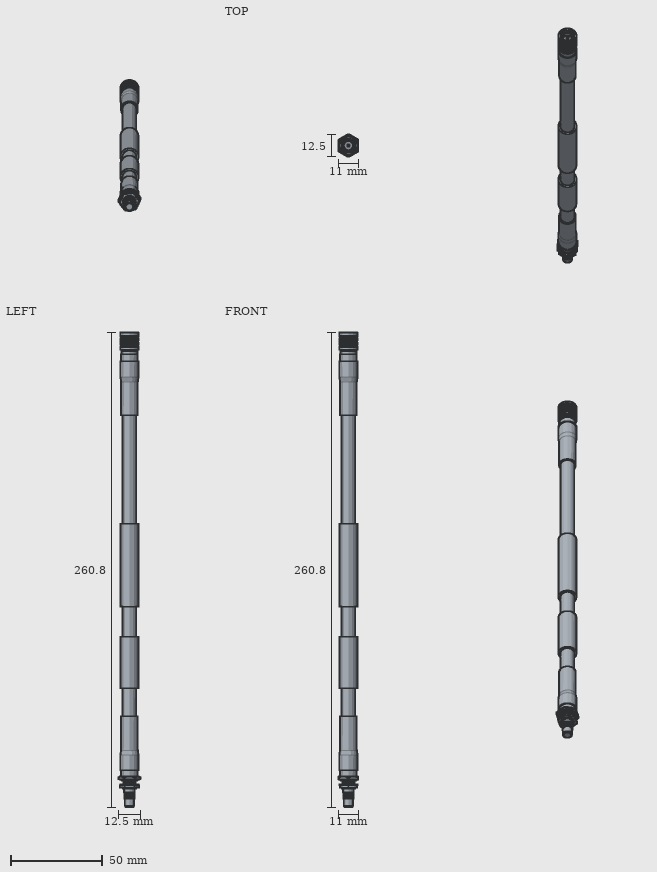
import cadquery as cq
import math

TOTAL_LENGTH = 260.79

CABLE_DIAMETER = 7.7
FERRULE_DIAMETER = 9.3
LOWER_BOOT_START = 20.2
UPPER_BOOT_START = 244.7
BOOT_LENGTH = 29.7
BOOT_WIDE_LENGTH = 8.5
BOOT_TAPER_LENGTH = 2.6
BOOT_WIDE_DIAMETER = 10.2
BOOT_NARROW_DIAMETER = 9.36
SLEEVE_DIAMETER = 10.0
LONG_SLEEVE_START = 110.0
LONG_SLEEVE_LENGTH = 45.6
SHORT_SLEEVE_START = 65.2
SHORT_SLEEVE_LENGTH = 28.4

NUT_START = 250.2
NUT_SHOULDER_LENGTH = 0.8
NUT_SHOULDER_DIAMETER = 9.2
NUT_DIAMETER = 10.2
NUT_CHAMFER = 0.3
NUT_RIM_LENGTH = 1.4
NUT_GROOVE_COUNT = 3
NUT_GROOVE_DEPTH = 0.25
NUT_BORE_DIAMETER = 6.4
NUT_BORE_DEPTH = 7.0
NUT_MOUTH_DIAMETER = 7.6
NUT_MOUTH_DEPTH = 1.0

PLUG_COLLAR_START = 248.6
PLUG_COLLAR_DIAMETER = 8.9
PLUG_STEM_DIAMETER = 5.6
PLUG_BORE_DIAMETER = 5.0
PLUG_BORE_DEPTH = 3.0
PLUG_RECESS = 1.0
PIN_DIAMETER = 1.3

FLANGE_FLATS = 11.0
FLANGE_CORNER_DIAMETER = 12.52
FLANGE_FACE_DIAMETER = 10.4
FLANGE_CHAMFER = 0.5
FLANGE_START = 15.0
FLANGE_TOP = 16.8
SEAT_LENGTH = 0.6
SEAT_TOP_DIAMETER = 9.6
SEAT_BOTTOM_DIAMETER = 8.4
LOCK_HEX_FLATS = 9.4
LOCK_HEX_START = 10.7
LOCK_HEX_TOP = 12.1
LOCK_WASHER_DIAMETER = 10.2
LOCK_WASHER_THICKNESS = 0.4
LOCK_COLLAR_DIAMETER = 7.2
LOCK_COLLAR_LENGTH = 0.7
NECK_DIAMETER = 6.9
LAND_START = 8.1
LAND_DIAMETER = 6.0
THREAD_DIAMETER = 5.6
THREAD_GROOVE_DEPTH = 0.3
THREAD_PITCH = 0.7
NOSE_LENGTH = 4.5
NOSE_DIAMETER = 5.2
NOSE_CHAMFER = 0.6


def rod(diameter, start, end):
    """Plain cylinder on the cable axis between two heights."""
    return cq.Workplane("XY").workplane(offset=start).circle(diameter / 2).extrude(end - start)


def turned(stations):
    """Solid of revolution about Z from (diameter, height) corners."""
    corners = [(diameter / 2, height) for diameter, height in stations]
    return cq.Workplane("XZ").polyline(corners).close().revolve(360, (0, 0, 0), (0, 1, 0))


def hex_prism(flats, start, end):
    """Hexagonal prism with two of its flats facing +X and -X."""
    corner_diameter = flats / math.cos(math.pi / 6)
    return (
        cq.Workplane("XY").workplane(offset=start).transformed(rotate=(0, 0, 30))
        .polygon(6, corner_diameter).extrude(end - start)
    )


def vee_grooves(outer, depth, start, pitch, count):
    """Corners, going up, of a row of V grooves on a cylinder."""
    corners = [(outer, start)]
    for i in range(count):
        corners.append((outer - 2 * depth, start + (i + 0.5) * pitch))
        corners.append((outer, start + (i + 1) * pitch))
    return corners


def make_boot(start, direction):
    """Heat-shrink boot, wide over the connector ferrule and narrow along the cable."""
    taper_start = start + direction * BOOT_WIDE_LENGTH
    taper_end = taper_start + direction * BOOT_TAPER_LENGTH
    end = start + direction * BOOT_LENGTH
    return turned([
        (CABLE_DIAMETER, start),
        (BOOT_WIDE_DIAMETER, start),
        (BOOT_WIDE_DIAMETER, taper_start),
        (BOOT_NARROW_DIAMETER, taper_end),
        (BOOT_NARROW_DIAMETER, end),
        (CABLE_DIAMETER, end),
    ])


def make_sleeve(start, length):
    end = start + length
    return rod(SLEEVE_DIAMETER, start, end).cut(rod(CABLE_DIAMETER, start, end))


cable = rod(CABLE_DIAMETER, LOWER_BOOT_START, UPPER_BOOT_START)
lower_boot = make_boot(LOWER_BOOT_START, 1)
upper_boot = make_boot(UPPER_BOOT_START, -1)
long_sleeve = make_sleeve(LONG_SLEEVE_START, LONG_SLEEVE_LENGTH)
short_sleeve = make_sleeve(SHORT_SLEEVE_START, SHORT_SLEEVE_LENGTH)


def make_coupling_nut():
    """Ring-grooved nut with plain rims and a rear shoulder, bored from the top."""
    rim_start = NUT_START + NUT_SHOULDER_LENGTH
    grip_start = rim_start + NUT_RIM_LENGTH
    pitch = (TOTAL_LENGTH - NUT_RIM_LENGTH - grip_start) / NUT_GROOVE_COUNT
    flank = pitch / 4
    floor_diameter = NUT_DIAMETER - 2 * NUT_GROOVE_DEPTH
    bore_floor = TOTAL_LENGTH - NUT_BORE_DEPTH
    grip = []
    for i in range(NUT_GROOVE_COUNT):
        groove_start = grip_start + i * pitch
        groove_end = groove_start + 3 * flank
        grip.append((NUT_DIAMETER, groove_start))
        grip.append((floor_diameter, groove_start + flank))
        grip.append((floor_diameter, groove_end - flank))
        grip.append((NUT_DIAMETER, groove_end))
    return turned([
        (PLUG_STEM_DIAMETER, NUT_START),
        (NUT_SHOULDER_DIAMETER, NUT_START),
        (NUT_SHOULDER_DIAMETER, rim_start),
        (NUT_DIAMETER, rim_start),
        *grip,
        (NUT_DIAMETER, TOTAL_LENGTH - NUT_CHAMFER),
        (NUT_DIAMETER - 2 * NUT_CHAMFER, TOTAL_LENGTH),
        (NUT_MOUTH_DIAMETER, TOTAL_LENGTH),
        (NUT_BORE_DIAMETER, TOTAL_LENGTH - NUT_MOUTH_DEPTH),
        (NUT_BORE_DIAMETER, bore_floor),
        (PLUG_STEM_DIAMETER, bore_floor),
    ])


def make_plug():
    """Ferrule, collar and stem of the plug, with its contact pin."""
    stem_end = TOTAL_LENGTH - PLUG_RECESS
    bore_floor = stem_end - PLUG_BORE_DEPTH
    body = rod(FERRULE_DIAMETER, UPPER_BOOT_START, PLUG_COLLAR_START)
    body = body.union(rod(PLUG_COLLAR_DIAMETER, PLUG_COLLAR_START, NUT_START))
    body = body.union(rod(PLUG_STEM_DIAMETER, NUT_START, stem_end))
    body = body.cut(rod(PLUG_BORE_DIAMETER, bore_floor, stem_end))
    return body.union(rod(PIN_DIAMETER, bore_floor, stem_end))


def make_flange():
    """Hexagonal flange, its corners turned down and chamfered, with a conical seat below."""
    blank = turned([
        (0, FLANGE_START),
        (FLANGE_FACE_DIAMETER, FLANGE_START),
        (FLANGE_CORNER_DIAMETER, FLANGE_START + FLANGE_CHAMFER),
        (FLANGE_CORNER_DIAMETER, FLANGE_TOP - FLANGE_CHAMFER),
        (FLANGE_FACE_DIAMETER, FLANGE_TOP),
        (0, FLANGE_TOP),
    ])
    seat = turned([
        (0, FLANGE_START - SEAT_LENGTH),
        (SEAT_BOTTOM_DIAMETER, FLANGE_START - SEAT_LENGTH),
        (SEAT_TOP_DIAMETER, FLANGE_START),
        (0, FLANGE_START),
    ])
    return hex_prism(FLANGE_FLATS, FLANGE_START, FLANGE_TOP).intersect(blank).union(seat)


def make_lock_hex():
    """Smaller hexagon with a washer face above it and a round collar below it."""
    hexagon = hex_prism(LOCK_HEX_FLATS, LOCK_HEX_START, LOCK_HEX_TOP)
    washer = rod(LOCK_WASHER_DIAMETER, LOCK_HEX_TOP, LOCK_HEX_TOP + LOCK_WASHER_THICKNESS)
    collar = rod(LOCK_COLLAR_DIAMETER, LOCK_HEX_START - LOCK_COLLAR_LENGTH, LOCK_HEX_START)
    return hexagon.union(washer).union(collar)


def make_shank():
    """Shank with ring-grooved neck and thread, a smooth land between them and a chamfered nose."""
    neck_groove_count = math.floor((FLANGE_START - LOCK_HEX_TOP) / THREAD_PITCH)
    groove_count = math.floor((LAND_START - NOSE_LENGTH) / THREAD_PITCH)
    return turned([
        (0, 0),
        (NOSE_DIAMETER - 2 * NOSE_CHAMFER, 0),
        (NOSE_DIAMETER, NOSE_CHAMFER),
        (NOSE_DIAMETER, NOSE_LENGTH),
        *vee_grooves(THREAD_DIAMETER, THREAD_GROOVE_DEPTH, NOSE_LENGTH, THREAD_PITCH, groove_count),
        (THREAD_DIAMETER, LAND_START),
        (LAND_DIAMETER, LAND_START),
        (LAND_DIAMETER, LOCK_HEX_TOP),
        *vee_grooves(NECK_DIAMETER, THREAD_GROOVE_DEPTH, LOCK_HEX_TOP, THREAD_PITCH, neck_groove_count),
        (NECK_DIAMETER, FLANGE_START),
        (0, FLANGE_START),
    ])


def make_jack():
    ferrule = rod(FERRULE_DIAMETER, FLANGE_TOP, LOWER_BOOT_START)
    return make_shank().union(make_flange()).union(make_lock_hex()).union(ferrule)


coupling_nut = make_coupling_nut()
plug = make_plug()
jack = make_jack()

result = cq.Compound.makeCompound([
    cable.val(),
    lower_boot.val(),
    upper_boot.val(),
    long_sleeve.val(),
    short_sleeve.val(),
    coupling_nut.val(),
    plug.val(),
    jack.val(),
])